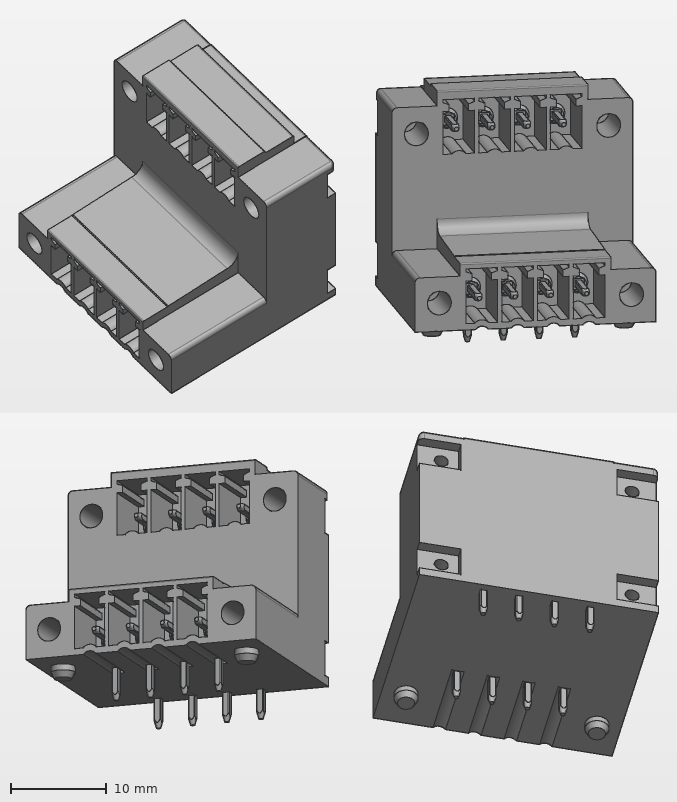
import cadquery as cq
import math


width = 25.65
depth = 21.9
deck_step = 12.72
lower_shoulder_z = 5.83
upper_shoulder_z = 21.15
shoulder_radius = 0.52

roof_width = 16.05
lower_roof_z = 7.17
lower_strip_depth = 3.26
lower_slope_front_z = 7.23
lower_slope_back_z = 7.54
slope_riser = 0.13
root_radius = 1.48
upper_roof_z = 22.77
upper_strip_depth = 3.5
upper_back_roof_z = 22.45
upper_roof_back_gap = 1.75
riser_run = 0.2
back_ledge_z = upper_shoulder_z + 0.1
roof_edge_radius = 0.13
roof_back_radius = 0.2

pole_count = 4
pitch = 3.8
lower_axis_z = 3.03
row_spacing = 15.23
pole_xs = [(i - (pole_count - 1) / 2) * pitch for i in range(pole_count)]
decks = [(0.0, lower_axis_z), (deck_step, lower_axis_z + row_spacing)]

pocket_width = 3.37
pocket_depth = 6.48
pocket_floor = -2.33
pocket_top = 3.55
rib_width = 0.65
rib_wall_drop = 0.3
rib_tip_drop = 0.57
rib_bottom_drop = 1.3
bump_half_width = 0.75
bump_height = 0.34
boss_height = 0.78
boss_base_diameter = 2.2
boss_top_diameter = 1.63
boss_recess_size = 1.22
boss_recess_depth = 0.25

screw_x = 10.23
screw_head_diameter = 2.55
screw_head_depth = 6.48
screw_diameter = 1.48
nut_size = 3.73
nut_slot_depth = 1.05
nut_slot_zs = [2.85, 18.2]
nut_slot_length = width / 2 - screw_x + nut_size / 2

corner_radius = 0.55
back_edge_radius = 0.25

groove_half_width = 0.67
groove_height = 0.34
groove_length = 8.8
peg_y = 4.22
peg_diameter = 2.55
peg_length = 1.32
peg_chamfer_height = 0.67
peg_chamfer_width = 0.35

pin_size = 0.78
pin_edge_chamfer = 0.1
pin_tip_setback = 1.32
pin_tail_setback = 8.03
pin_tail_length = 3.13
pin_tip_diameter = 0.45
pin_taper_angle = 17.0


def front_sketch(y, x=0.0, z=0.0):
    """Workplane facing front at depth y; extruding by a negative length goes backward."""
    return cq.Workplane("XZ", origin=(x, y, z))


def screw_places():
    """Every flange screw as (x, front face y, axis z)."""
    return [(side * screw_x, face_y, axis_z) for side in (-1, 1) for face_y, axis_z in decks]


def deck_block(face_y, shoulder_z):
    """Full-width block from a deck's front face to the back, with rounded top side edges."""
    block = cq.Workplane("XY").box(width, depth - face_y, shoulder_z, centered=(True, False, False))
    block = block.translate((0, face_y, 0))
    return block.edges("|Y and >Z").fillet(shoulder_radius)


def lower_roof():
    """Flat front strip, riser and gentle slope running into a concave root at the upper deck."""
    tangent_y = deck_step - root_radius
    root_z = lower_slope_back_z + root_radius
    mid_offset = root_radius * (1 - math.sqrt(0.5))
    roof = (
        cq.Workplane("YZ")
        .moveTo(0, lower_axis_z)
        .lineTo(0, lower_roof_z)
        .lineTo(lower_strip_depth, lower_roof_z)
        .lineTo(lower_strip_depth + slope_riser, lower_slope_front_z)
        .lineTo(tangent_y, lower_slope_back_z)
        .threePointArc(
            (deck_step - mid_offset, lower_slope_back_z + mid_offset), (deck_step, root_z)
        )
        .lineTo(deck_step, lower_axis_z)
        .close()
        .extrude(roof_width / 2, both=True)
    )
    front_edge = cq.selectors.NearestToPointSelector((0, 0, lower_roof_z))
    return roof.edges(front_edge).fillet(roof_edge_radius)


def upper_roof():
    """Flat roof with a higher front strip and a short sloping riser behind it."""
    strip_back = deck_step + upper_strip_depth
    roof_back = depth - upper_roof_back_gap
    base_z = upper_shoulder_z - shoulder_radius
    roof = (
        cq.Workplane("YZ")
        .polyline([
            (deck_step, base_z),
            (deck_step, upper_roof_z),
            (strip_back, upper_roof_z),
            (strip_back + riser_run, upper_back_roof_z),
            (roof_back, upper_back_roof_z),
            (roof_back, base_z),
        ])
        .close()
        .extrude(roof_width / 2, both=True)
    )
    front_edge = cq.selectors.NearestToPointSelector((0, deck_step, upper_roof_z))
    back_edge = cq.selectors.NearestToPointSelector((0, roof_back, upper_back_roof_z))
    roof = roof.edges(front_edge).fillet(roof_edge_radius)
    return roof.edges(back_edge).fillet(roof_back_radius)


def back_ledge():
    """Thin strip that carries the upper roof's width to the back face."""
    length = depth - deck_step
    ledge = cq.Workplane("XY").box(
        roof_width, length, back_ledge_z - lower_axis_z, centered=(True, False, False)
    )
    ledge = ledge.translate((0, deck_step, lower_axis_z))
    return ledge.edges(">Y and >Z").fillet(back_edge_radius)


def upper_block():
    """Upper deck with its back corners rounded above the nut slots."""
    block = deck_block(deck_step, upper_shoulder_z)
    slot_top_z = max(nut_slot_zs) + nut_size / 2
    crown = cq.Workplane("XY", origin=(0, deck_step, slot_top_z)).box(
        width, depth - deck_step, upper_shoulder_z - slot_top_z, centered=(True, False, False)
    )
    rounded = crown.edges("|Z and >Y").fillet(corner_radius)
    block = block.cut(crown.cut(rounded))
    back_top = cq.selectors.NearestToPointSelector((0, depth, upper_shoulder_z))
    return block.edges(back_top).fillet(back_edge_radius)


def contact_pocket():
    """Keyed pocket outline with a rounded bump in its floor, drawn about the pin axis."""
    half = pocket_width / 2
    rib_x = half - rib_width
    pocket = (
        front_sketch(0)
        .moveTo(-half, pocket_floor)
        .lineTo(-bump_half_width, pocket_floor)
        .threePointArc((0, pocket_floor + bump_height), (bump_half_width, pocket_floor))
        .lineTo(half, pocket_floor)
        .lineTo(half, pocket_top - rib_bottom_drop)
        .lineTo(rib_x, pocket_top - rib_bottom_drop)
        .lineTo(rib_x, pocket_top - rib_tip_drop)
        .lineTo(half, pocket_top - rib_wall_drop)
        .lineTo(half, pocket_top)
        .lineTo(-half, pocket_top)
        .lineTo(-half, pocket_top - rib_wall_drop)
        .lineTo(-rib_x, pocket_top - rib_tip_drop)
        .lineTo(-rib_x, pocket_top - rib_bottom_drop)
        .lineTo(-half, pocket_top - rib_bottom_drop)
        .close()
        .extrude(-pocket_depth)
    )
    return pocket.cut(pin_boss())


def pin_boss():
    """Cone on the pocket's back wall with a square recess around the pin."""
    boss = (
        front_sketch(pocket_depth)
        .circle(boss_base_diameter / 2)
        .workplane(offset=boss_height)
        .circle(boss_top_diameter / 2)
        .loft()
    )
    recess = (
        front_sketch(pocket_depth - boss_height)
        .rect(boss_recess_size, boss_recess_size)
        .extrude(-boss_recess_depth)
    )
    return boss.cut(recess)


def screw_hole(x, face_y, axis_z):
    """Stepped screw hole from the deck's front face through to the back."""
    head = front_sketch(face_y, x, axis_z).circle(screw_head_diameter / 2).extrude(-screw_head_depth)
    shank = front_sketch(face_y, x, axis_z).circle(screw_diameter / 2).extrude(face_y - depth)
    return head.union(shank)


def nut_slot(side, center_z):
    """Slot open to the back and to one side, ending just past the screw."""
    center = (side * (width - nut_slot_length) / 2, depth - nut_slot_depth / 2, center_z)
    return cq.Workplane("XY").box(nut_slot_length, nut_slot_depth, nut_size).translate(center)


def underside_groove(x):
    """Shallow rounded groove in the base, from the front face past the lower pin's tail."""
    return (
        front_sketch(0, x)
        .moveTo(-groove_half_width, 0)
        .threePointArc((0, groove_height), (groove_half_width, 0))
        .close()
        .extrude(-groove_length)
    )


def locating_peg(x):
    """Round peg under the base with a tapered end."""
    peg = cq.Workplane("XY", origin=(x, peg_y, 0)).circle(peg_diameter / 2).extrude(-peg_length)
    return peg.faces("<Z").chamfer(peg_chamfer_height, peg_chamfer_width)


def make_housing(pins):
    """Stepped housing with its pockets, screw holes and pegs, and holes matching the pins."""
    body = deck_block(0, lower_shoulder_z).union(upper_block()).union(back_ledge())
    body = body.union(lower_roof()).union(upper_roof())
    for x in pole_xs:
        body = body.cut(underside_groove(x))
        for face_y, axis_z in decks:
            body = body.cut(contact_pocket().translate((x, face_y, axis_z)))
    for x, face_y, axis_z in screw_places():
        body = body.cut(screw_hole(x, face_y, axis_z))
    for side in (-1, 1):
        for center_z in nut_slot_zs:
            body = body.cut(nut_slot(side, center_z))
        body = body.union(locating_peg(side * screw_x))
    for pin in pins:
        body = body.cut(pin)
    return body


def tapered_bar(length):
    """Square bar with chamfered edges and a conical tip at z = 0, standing up to z = length."""
    bar = cq.Workplane("XY").rect(pin_size, pin_size).extrude(length)
    bar = bar.edges("|Z").chamfer(pin_edge_chamfer)
    tip_radius = pin_tip_diameter / 2
    taper_height = (pin_size - tip_radius) / math.tan(math.radians(pin_taper_angle))
    envelope = (
        cq.Workplane("XZ")
        .polyline([
            (0, 0),
            (tip_radius, 0),
            (pin_size, taper_height),
            (pin_size, length),
            (0, length),
        ])
        .close()
        .revolve(360, (0, 0), (0, 1))
    )
    return bar.intersect(envelope)


def make_pin(x, face_y, axis_z):
    """L-shaped pin: a contact toward the front and a tail down through the base."""
    tail_y = face_y + pin_tail_setback
    contact = tapered_bar(pin_tail_setback - pin_tip_setback + pin_size / 2)
    contact = contact.rotate((0, 0, 0), (1, 0, 0), -90).translate((x, face_y + pin_tip_setback, axis_z))
    tail = tapered_bar(pin_tail_length + axis_z + pin_size / 2)
    tail = tail.translate((x, tail_y, -pin_tail_length))
    return contact.union(tail)


pins = [make_pin(x, face_y, axis_z) for face_y, axis_z in decks for x in pole_xs]
housing = make_housing(pins)

result = cq.Compound.makeCompound([housing.val(), *[pin.val() for pin in pins]])